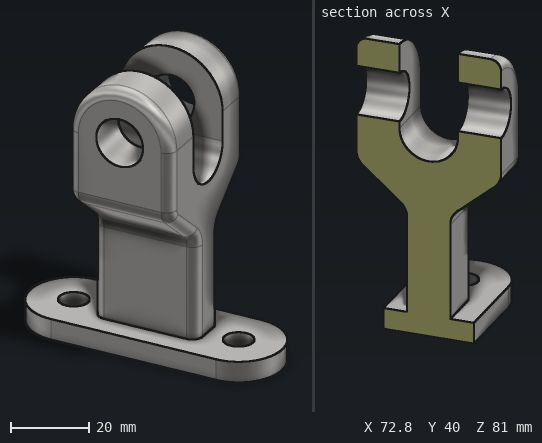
import cadquery as cq
import math

base_width = 25.0
base_thickness = 6.0
mount_hole_spacing = 47.76
mount_hole_diameter = 8.06

total_height = 81.0
fork_width = 30.0
fork_depth = 40.0
stem_depth = 12.0
shoulder_height = 46.6
shoulder_angle = 40.0
profile_radius = 5.0
edge_radius = 3.0

slot_width = 16.0
slot_bottom_height = 49.35
pin_hole_diameter = 13.55

pin_height = total_height - fork_width / 2
shoulder_run = (fork_depth - stem_depth) / 2
neck_height = shoulder_height - shoulder_run * math.tan(math.radians(shoulder_angle))


def make_base():
    """Round-ended plate with a mounting hole at the centre of each end."""
    return (
        cq.Workplane("XY")
        .slot2D(mount_hole_spacing + base_width, base_width)
        .extrude(base_thickness)
        .faces(">Z")
        .workplane()
        .rarray(mount_hole_spacing, 1, 2, 1)
        .hole(mount_hole_diameter)
    )


def make_y_profile():
    """Stem widening over slanted shoulders into the arms, extruded along X."""
    half_stem = stem_depth / 2
    half_fork = fork_depth / 2
    return (
        cq.Workplane("YZ")
        .moveTo(-half_stem, base_thickness)
        .lineTo(half_stem, base_thickness)
        .lineTo(half_stem, neck_height)
        .lineTo(half_fork, shoulder_height)
        .lineTo(half_fork, total_height)
        .lineTo(-half_fork, total_height)
        .lineTo(-half_fork, shoulder_height)
        .lineTo(-half_stem, neck_height)
        .close()
        .extrude(fork_width / 2, both=True)
    )


def round_shoulder_bends(body):
    """Round the edges along X at the top and bottom of both shoulders."""
    margin = profile_radius / 2
    bends = cq.selectors.BoxSelector(
        (-fork_width, -fork_depth, neck_height - margin),
        (fork_width, fork_depth, shoulder_height + margin),
    )
    return body.edges("|X").edges(bends).fillet(profile_radius)


def make_dome_envelope():
    """Straight sides closed by a half round about the pin axis, extruded along Y."""
    half_width = fork_width / 2
    return (
        cq.Workplane("XZ")
        .moveTo(-half_width, base_thickness)
        .lineTo(half_width, base_thickness)
        .lineTo(half_width, pin_height)
        .threePointArc((0, total_height), (-half_width, pin_height))
        .close()
        .extrude(fork_depth / 2, both=True)
    )


def make_slot():
    """Open-topped, round-bottomed gap between the arms."""
    half_slot = slot_width / 2
    round_centre_height = slot_bottom_height + half_slot
    return (
        cq.Workplane("YZ")
        .moveTo(half_slot, total_height)
        .lineTo(half_slot, round_centre_height)
        .threePointArc((0, slot_bottom_height), (-half_slot, round_centre_height))
        .lineTo(-half_slot, total_height)
        .close()
        .extrude(fork_width / 2, both=True)
    )


def make_pin_hole():
    """Hole along Y through both arms."""
    return (
        cq.Workplane("XZ", origin=(0, 0, pin_height))
        .circle(pin_hole_diameter / 2)
        .extrude(fork_depth / 2, both=True)
    )


def make_fork():
    body = round_shoulder_bends(make_y_profile()).intersect(make_dome_envelope())
    body = body.edges("|Z").fillet(edge_radius)
    return body.cut(make_slot()).cut(make_pin_hole())


result = make_base().union(make_fork())